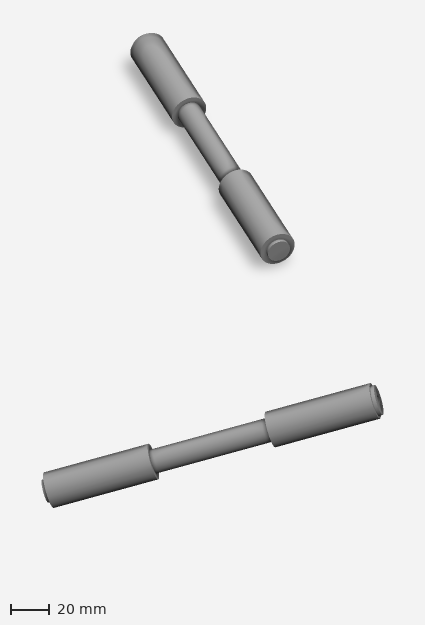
import cadquery as cq
import math

overall_length = 181.03
end_step_length = 2.0
neck_length = 63.5

roller_diameter = 19.05
left_step_diameter = 16.0
neck_diameter = 12.7
right_step_diameter = 12.3

hole_diameter = 5.0
hole_depth = 12.7
drill_point_angle = 118.0

part_end = overall_length / 2
roller_outer_end = part_end - end_step_length
roller_inner_end = neck_length / 2


def revolved_about_x(profile):
    """Solid of revolution about the X axis from a closed outline of (x, radius) points."""
    return cq.Workplane("XY").polyline(profile).close().revolve(360, (0, 0, 0), (1, 0, 0))


def stepped_body():
    """Neck, two rollers and the two end steps as one turned solid."""
    roller_radius = roller_diameter / 2
    left_step_radius = left_step_diameter / 2
    neck_radius = neck_diameter / 2
    right_step_radius = right_step_diameter / 2
    return revolved_about_x([
        (-part_end, 0),
        (-part_end, left_step_radius),
        (-roller_outer_end, left_step_radius),
        (-roller_outer_end, roller_radius),
        (-roller_inner_end, roller_radius),
        (-roller_inner_end, neck_radius),
        (roller_inner_end, neck_radius),
        (roller_inner_end, roller_radius),
        (roller_outer_end, roller_radius),
        (roller_outer_end, right_step_radius),
        (part_end, right_step_radius),
        (part_end, 0),
    ])


def drilled_hole():
    """Cutting shape of the blind hole with its conical drill point."""
    hole_radius = hole_diameter / 2
    point_length = hole_radius / math.tan(math.radians(drill_point_angle / 2))
    hole_end = -part_end + hole_depth
    return revolved_about_x([
        (-part_end, 0),
        (-part_end, hole_radius),
        (hole_end, hole_radius),
        (hole_end + point_length, 0),
    ])


result = stepped_body().cut(drilled_hole())